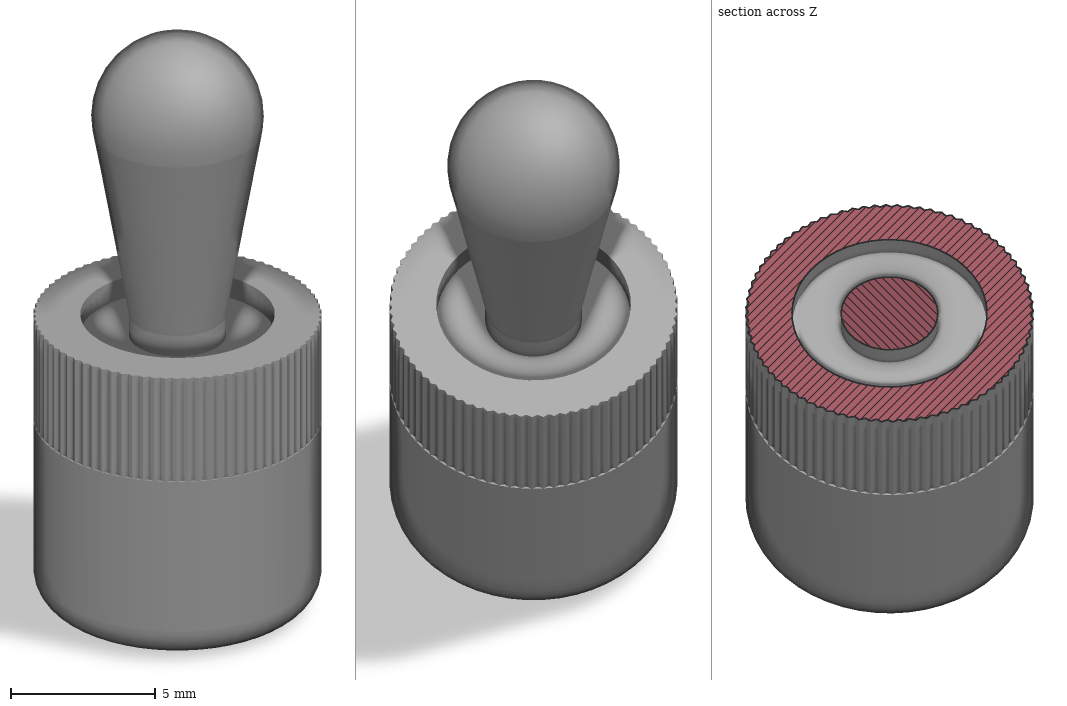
import cadquery as cq
import math

TOTAL_HEIGHT = 21.7

HOUSING_DIAMETER = 10.0
HOUSING_HEIGHT = 11.0
BOTTOM_FILLET = 1.2
RECESS_DIAMETER = 6.75
RECESS_DEPTH = 0.8

KNURL_HEIGHT = 4.0
GROOVE_COUNT = 80
GROOVE_DEPTH = 0.1
TOOTH_LAND = 0.015

BALL_DIAMETER = 6.0
STEM_DIAMETER = 3.36

HOUSING_RADIUS = HOUSING_DIAMETER / 2
KNURL_BOTTOM = HOUSING_HEIGHT - KNURL_HEIGHT
RECESS_FLOOR = HOUSING_HEIGHT - RECESS_DEPTH
BALL_RADIUS = BALL_DIAMETER / 2
STEM_RADIUS = STEM_DIAMETER / 2
BALL_CENTER = TOTAL_HEIGHT - BALL_RADIUS


def polar_point(radius, angle):
    """Point in the XY plane at a radius and an angle in radians."""
    return (radius * math.cos(angle), radius * math.sin(angle))


def make_knurled_band():
    """Band with straight V grooves, leaving narrow lands on the housing diameter between them."""
    pitch = 2 * math.pi / GROOVE_COUNT
    half_land = TOOTH_LAND / HOUSING_DIAMETER
    root_radius = HOUSING_RADIUS - GROOVE_DEPTH
    outline = []
    for groove in range(GROOVE_COUNT):
        root_angle = groove * pitch
        land_angle = root_angle + pitch / 2
        outline.append(polar_point(root_radius, root_angle))
        outline.append(polar_point(HOUSING_RADIUS, land_angle - half_land))
        outline.append(polar_point(HOUSING_RADIUS, land_angle + half_land))
    return (
        cq.Workplane("XY", origin=(0, 0, KNURL_BOTTOM))
        .polyline(outline)
        .close()
        .extrude(KNURL_HEIGHT)
    )


def make_housing():
    """Round housing with a rounded bottom edge, a knurled band and a recess in its top."""
    sleeve = (
        cq.Workplane("XY")
        .circle(HOUSING_RADIUS)
        .extrude(KNURL_BOTTOM)
        .faces("<Z")
        .edges()
        .fillet(BOTTOM_FILLET)
    )
    recess = (
        cq.Workplane("XY", origin=(0, 0, RECESS_FLOOR))
        .circle(RECESS_DIAMETER / 2)
        .extrude(RECESS_DEPTH)
    )
    return sleeve.union(make_knurled_band()).cut(recess)


def make_lever():
    """Lever standing on the recess floor: short cylinder, cone, and a ball tangent to the cone."""
    drop = BALL_CENTER - HOUSING_HEIGHT
    cone_angle = math.asin(BALL_RADIUS / math.hypot(drop, STEM_RADIUS)) - math.atan2(STEM_RADIUS, drop)
    tangent_point = (
        BALL_RADIUS * math.cos(cone_angle),
        BALL_CENTER - BALL_RADIUS * math.sin(cone_angle),
    )
    ball_side = polar_point(BALL_RADIUS, math.radians(45))
    profile = (
        cq.Workplane("XZ")
        .moveTo(0, RECESS_FLOOR)
        .lineTo(STEM_RADIUS, RECESS_FLOOR)
        .lineTo(STEM_RADIUS, HOUSING_HEIGHT)
        .lineTo(*tangent_point)
        .threePointArc((ball_side[0], BALL_CENTER + ball_side[1]), (0, TOTAL_HEIGHT))
        .close()
    )
    return profile.revolve(360, (0, 0, 0), (0, 1, 0))


housing = make_housing()
lever = make_lever()

result = cq.Compound.makeCompound([housing.val(), lever.val()])